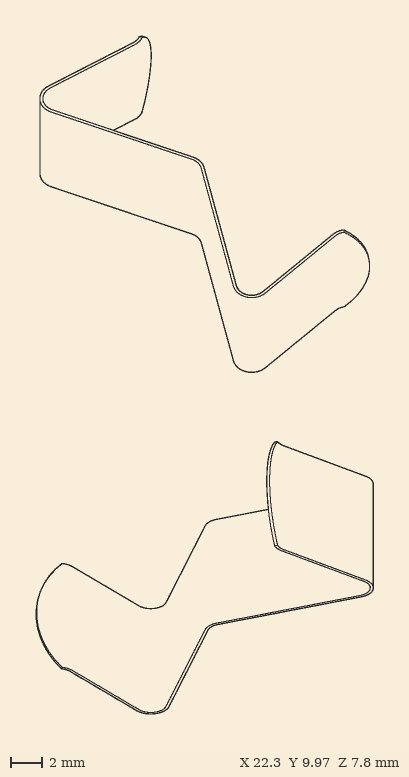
import cadquery as cq
import math

width = 7.8
depth = 9.97
span_at_feet = 21.91

thickness = 0.2
inner_radius = 1.0
outer_radius = inner_radius + thickness
middle_radius = inner_radius + thickness / 2

arm_angle = math.radians(27.4)
leg_angle = math.radians(6.5)
lip_angle = math.radians(30.0)
neck_center_y = 7.92

foot_center = (span_at_feet / 2 - outer_radius, outer_radius)
foot_turn = math.pi / 2 + leg_angle + arm_angle
foot_heading = (leg_angle - math.pi / 2 - arm_angle) / 2
foot_reach = middle_radius / math.cos(foot_turn / 2)

foot = (
    foot_center[0] + foot_reach * math.cos(foot_heading),
    foot_center[1] + foot_reach * math.sin(foot_heading),
)
apex = (0, foot[1] + foot[0] * math.tan(arm_angle))
neck_reach = middle_radius / math.cos((leg_angle + lip_angle) / 2)
neck_y = neck_center_y + neck_reach * math.sin((lip_angle - leg_angle) / 2)
neck = (foot[0] - (neck_y - foot[1]) * math.tan(leg_angle), neck_y)
tip_y = depth - thickness / 2 * math.sin(lip_angle)
tip = (neck[0] + (tip_y - neck[1]) * math.tan(lip_angle), tip_y)

lip_start_y = neck_center_y + middle_radius * math.sin(lip_angle)
lip_length = (tip[1] - lip_start_y) / math.cos(lip_angle)
lip_radius = (lip_length**2 + (width / 2) ** 2) / (2 * lip_length)


def mirrored(point):
    return (-point[0], point[1])


def offset_path(points, distance):
    """Shift an open polyline to its left, keeping sharp mitred corners."""
    headings = [math.atan2(b[1] - a[1], b[0] - a[0]) for a, b in zip(points, points[1:])]
    before = [headings[0]] + headings
    after = headings + [headings[-1]]
    shifted = []
    for (x, y), heading_in, heading_out in zip(points, before, after):
        middle = (heading_in + heading_out) / 2
        miter = distance / math.cos((heading_out - heading_in) / 2)
        shifted.append((x - miter * math.sin(middle), y + miter * math.cos(middle)))
    return shifted


def round_corners(body, corners, radius):
    for x, y in corners:
        edge = cq.selectors.NearestToPointSelector((x, y, 0))
        body = body.edges("|Z").edges(edge).fillet(radius)
    return body


def bent_strip():
    path = [mirrored(tip), mirrored(neck), mirrored(foot), apex, foot, neck, tip]
    left = offset_path(path, thickness / 2)
    right = offset_path(path, -thickness / 2)
    body = cq.Workplane("XY").polyline(left + right[::-1]).close().extrude(width / 2, both=True)

    feet = (2, 4)
    necks_and_apex = (1, 3, 5)
    inner_corners = [left[i] for i in feet] + [right[i] for i in necks_and_apex]
    outer_corners = [right[i] for i in feet] + [left[i] for i in necks_and_apex]
    body = round_corners(body, inner_corners, inner_radius)
    return round_corners(body, outer_corners, outer_radius)


def lip_trimmer():
    """Material outside the rounded end of the +X lip, cut square to the sheet."""
    lip_direction = (math.sin(lip_angle), math.cos(lip_angle), 0)
    lip_normal = (math.cos(lip_angle), -math.sin(lip_angle), 0)
    lip_plane = cq.Plane(origin=(tip[0], tip[1], 0), xDir=lip_direction, normal=lip_normal)
    block = cq.Workplane(lip_plane).center(-lip_length / 2, 0).rect(lip_length, width)
    disc = cq.Workplane(lip_plane).center(-lip_radius, 0).circle(lip_radius)
    return block.extrude(thickness, both=True).cut(disc.extrude(thickness, both=True))


trimmer = lip_trimmer()
result = bent_strip().cut(trimmer).cut(trimmer.mirror("YZ"))